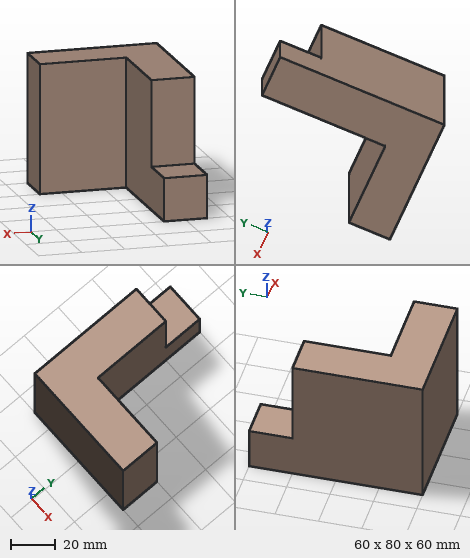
import cadquery as cq

cell = 20.0
width = 3 * cell
depth = 4 * cell
height = 3 * cell

front_leg = cq.Workplane("XY").box(width, cell, height, centered=False)
side_leg = cq.Workplane("XY").box(cell, depth - cell, height, centered=False)

foot = cq.Workplane("XY").box(cell, depth, cell, centered=False)

result = front_leg.union(side_leg).union(foot).clean()